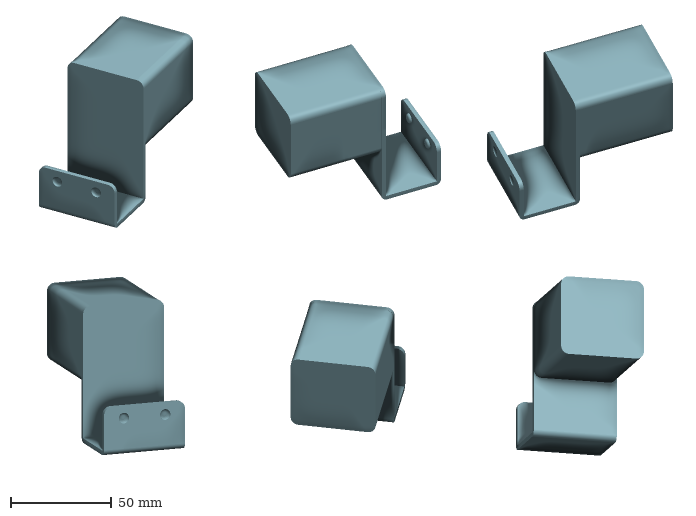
import cadquery as cq
import math

width = 43.1
height = 70.0
depth = 82.6
sheet = 2.3
bend_radius = 3.0
back_corner_radius = 3.8

block_length = 50.0
block_width = 43.0
block_height = 40.0
block_radius = 4.0

lip_height = 25.0
lip_corner_radius = 4.0

dimple_spacing = 22.0
dimple_height = 18.75
dimple_diameter = 5.5
dimple_depth = 1.4

back_outer_y = depth - block_length
back_inner_y = back_outer_y - sheet


def make_strip():
    """J-shaped strip with a tall back leg, a floor and a short lip."""
    profile = [
        (0, 0),
        (back_outer_y, 0),
        (back_outer_y, height),
        (back_inner_y, height),
        (back_inner_y, sheet),
        (sheet, sheet),
        (sheet, lip_height),
        (0, lip_height),
    ]
    strip = cq.Workplane("YZ").polyline(profile).close().extrude(width / 2, both=True)
    strip = strip.edges("|X and <Z").fillet(bend_radius)
    strip = strip.edges("|Y and >Z").fillet(back_corner_radius)
    lip_top = cq.NearestToPointSelector((0, sheet / 2, lip_height))
    return strip.faces(lip_top).edges("|Y").fillet(lip_corner_radius)


def make_block():
    """Solid block behind the back leg, flush with its top edge."""
    return (
        cq.Workplane("XY")
        .box(block_width, block_length, block_height, centered=(True, False, False))
        .edges("|Y")
        .fillet(block_radius)
        .translate((0, back_outer_y, height - block_height))
    )


def make_button(x, base_y):
    """Round button along +Y from base_y, its rim rounded over its full depth."""
    radius = dimple_diameter / 2
    flat_radius = radius - dimple_depth
    bulge = dimple_depth * math.sqrt(0.5)
    return (
        cq.Workplane("XY")
        .moveTo(0, 0)
        .lineTo(radius, 0)
        .threePointArc((flat_radius + bulge, bulge), (flat_radius, dimple_depth))
        .lineTo(0, dimple_depth)
        .close()
        .revolve(360, (0, 0), (0, 1))
        .translate((x, base_y, dimple_height))
    )


def add_dimple(body, x):
    """Blind hollow in the outer face of the lip and a matching bump inside."""
    return body.union(make_button(x, sheet)).cut(make_button(x, 0))


result = make_strip().union(make_block())
for side in (-1, 1):
    result = add_dimple(result, side * dimple_spacing / 2)